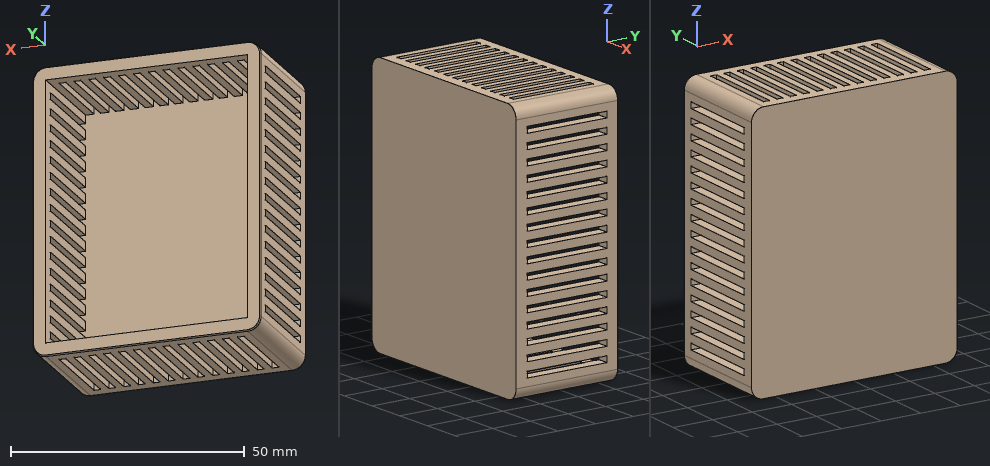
import cadquery as cq

width = 52.15
depth = 27.2
height = 65.7

wall = 3.0
corner_radius = 3.0
rim_chamfer = 0.25

inner_width = width - 2 * wall
inner_height = height - 2 * wall

slot_width = 1.5
slot_length = depth - 2 * wall
slot_inset = 5.7
top_slot_count = 13
side_slot_count = 16


def slot_centres(count, length):
    """Evenly spaced slot centres along a side, the end ones at slot_inset from its ends."""
    pitch = (length - 2 * slot_inset) / (count - 1)
    return [(index - (count - 1) / 2) * pitch for index in range(count)]


def make_shell():
    """Rounded box, hollowed from the back, with a fine chamfer around its back edge."""
    body = (
        cq.Workplane("XY")
        .box(width, depth, height)
        .edges("|Y")
        .fillet(corner_radius)
        .faces(">Y")
        .chamfer(rim_chamfer)
    )
    cavity = cq.Workplane("XY").box(inner_width, depth, inner_height).translate((0, wall, 0))
    return body.cut(cavity)


def cut_top_and_bottom_slots(shell):
    points = [(x, 0) for x in slot_centres(top_slot_count, width)]
    slots = cq.Workplane("XY").pushPoints(points).box(slot_width, slot_length, height)
    return shell.cut(slots)


def cut_side_slots(shell):
    points = [(0, z) for z in slot_centres(side_slot_count, height)]
    slots = cq.Workplane("XZ").pushPoints(points).box(width, slot_width, slot_length)
    return shell.cut(slots)


result = cut_side_slots(cut_top_and_bottom_slots(make_shell()))